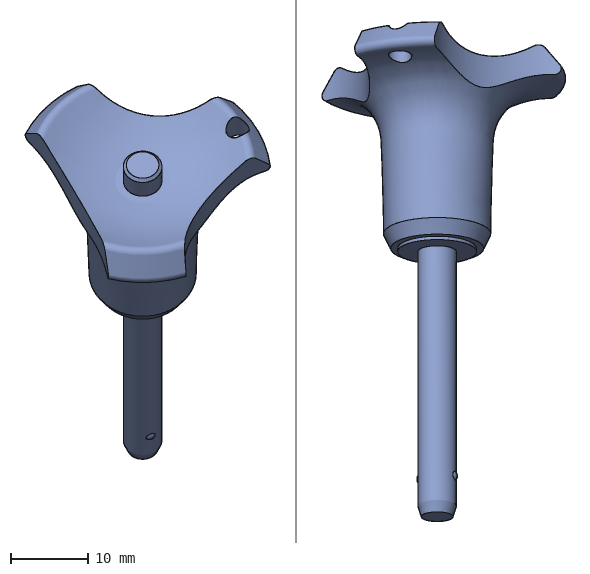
import math

import cadquery as cq


HANDLE_HEIGHT = 26.7
SHANK_LENGTH = 36.0

TIP_RADIUS = 16.6
BOWL_RADIUS = 24.0
CREST_FILLET = 1.0
CREST_RADIAL = 13.83
NOSE_FILLET = 0.83
TIP_THICKNESS = 4.0
PLUG_RADIUS = 3.53

FLARE_RADIUS = 8.0
GRIP_TOP_RADIUS = 7.25
GRIP_BOTTOM_RADIUS = 6.94
GRIP_BOTTOM_Z = 2.4
CONE_BOTTOM_RADIUS = 6.0
CONE_BOTTOM_Z = 0.45
COLLAR_RADIUS = 5.1

SIDE_SCALLOP_RADIUS = 15.7
SIDE_SCALLOP_X = 21.05
SIDE_SCALLOP_Y = 13.4
FRONT_SCALLOP_RADIUS = 49.3
FRONT_SCALLOP_DEPTH_Y = -9.2

HOLE_DIAMETER = 3.0
HOLE_Y = 13.6

PIN_RADIUS = 2.5
BUTTON_TOP_DROP = 0.5
BUTTON_CHAMFER = 0.4
SHANK_TIP_RADIUS = 2.05
SHANK_TIP_LENGTH = 1.45
BALL_RADIUS = 0.8
BALL_PROTRUSION = 0.25
BALL_ABOVE_TIP = 5.3


def point_on_circle(center, radius, angle):
    """Point at the given angle (radians) on a circle in the (radius, Z) half plane."""
    return (center[0] + radius * math.cos(angle), center[1] + radius * math.sin(angle))


def handle_blank():
    """Solid of revolution of the handle, before the scallops part it into arms."""
    crest = (CREST_RADIAL, HANDLE_HEIGHT - CREST_FILLET)
    underside_z = HANDLE_HEIGHT - TIP_THICKNESS
    nose = (TIP_RADIUS - NOSE_FILLET, underside_z + NOSE_FILLET)
    flare = (GRIP_TOP_RADIUS + FLARE_RADIUS, underside_z - FLARE_RADIUS)

    center_gap = BOWL_RADIUS + CREST_FILLET
    bowl = (0, crest[1] + math.sqrt(center_gap**2 - CREST_RADIAL**2))
    crest_inner_angle = math.atan2(bowl[1] - crest[1], -CREST_RADIAL)
    plug_angle = -math.acos(PLUG_RADIUS / BOWL_RADIUS)
    bowl_end_angle = crest_inner_angle - math.pi
    plug_edge = point_on_circle(bowl, BOWL_RADIUS, plug_angle)
    bowl_mid = point_on_circle(bowl, BOWL_RADIUS, (plug_angle + bowl_end_angle) / 2)
    bowl_end = point_on_circle(bowl, BOWL_RADIUS, bowl_end_angle)

    run = nose[0] - crest[0]
    drop = crest[1] - nose[1]
    bevel_slope = math.atan2(drop, run) + math.asin((CREST_FILLET - NOSE_FILLET) / math.hypot(run, drop))
    bevel_normal = math.pi / 2 - bevel_slope
    crest_top = point_on_circle(crest, CREST_FILLET, math.pi / 2)
    bevel_top = point_on_circle(crest, CREST_FILLET, bevel_normal)
    bevel_bottom = point_on_circle(nose, NOSE_FILLET, bevel_normal)
    nose_tip = point_on_circle(nose, NOSE_FILLET, 0)
    nose_bottom = point_on_circle(nose, NOSE_FILLET, -math.pi / 2)

    flare_mid = point_on_circle(flare, FLARE_RADIUS, 0.75 * math.pi)

    profile = (
        cq.Workplane("XZ")
        .moveTo(0, plug_edge[1])
        .lineTo(*plug_edge)
        .threePointArc(bowl_mid, bowl_end)
        .threePointArc(crest_top, bevel_top)
        .lineTo(*bevel_bottom)
        .threePointArc(nose_tip, nose_bottom)
        .lineTo(flare[0], underside_z)
        .threePointArc(flare_mid, (GRIP_TOP_RADIUS, flare[1]))
        .lineTo(GRIP_BOTTOM_RADIUS, GRIP_BOTTOM_Z)
        .lineTo(CONE_BOTTOM_RADIUS, CONE_BOTTOM_Z)
        .lineTo(COLLAR_RADIUS, CONE_BOTTOM_Z)
        .lineTo(COLLAR_RADIUS, 0)
        .lineTo(0, 0)
        .close()
    )
    return profile.revolve(360, (0, 0, 0), (0, 1, 0))


def vertical_cutter(x, y, radius):
    """Cylinder along Z as tall as the handle."""
    return cq.Workplane("XY").center(x, y).circle(radius).extrude(HANDLE_HEIGHT)


def handle():
    """Three-armed handle with the lanyard hole in its +Y arm."""
    body = handle_blank()
    for side in (-1, 1):
        body = body.cut(vertical_cutter(side * SIDE_SCALLOP_X, SIDE_SCALLOP_Y, SIDE_SCALLOP_RADIUS))
    front_center_y = FRONT_SCALLOP_DEPTH_Y - FRONT_SCALLOP_RADIUS
    body = body.cut(vertical_cutter(0, front_center_y, FRONT_SCALLOP_RADIUS))
    return body.cut(vertical_cutter(0, HOLE_Y, HOLE_DIAMETER / 2))


def pin():
    """Push button, spindle and tapered shank as one turned piece."""
    button_top = HANDLE_HEIGHT - BUTTON_TOP_DROP
    profile = (
        cq.Workplane("XZ")
        .moveTo(0, button_top)
        .lineTo(PIN_RADIUS - BUTTON_CHAMFER, button_top)
        .lineTo(PIN_RADIUS, button_top - BUTTON_CHAMFER)
        .lineTo(PIN_RADIUS, SHANK_TIP_LENGTH - SHANK_LENGTH)
        .lineTo(SHANK_TIP_RADIUS, -SHANK_LENGTH)
        .lineTo(0, -SHANK_LENGTH)
        .close()
    )
    return profile.revolve(360, (0, 0, 0), (0, 1, 0))


def locking_ball(side):
    """Ball standing slightly proud of the shank on the -X or +X side."""
    center_x = side * (PIN_RADIUS + BALL_PROTRUSION - BALL_RADIUS)
    center_z = BALL_ABOVE_TIP - SHANK_LENGTH
    return cq.Workplane("XY").sphere(BALL_RADIUS).translate((center_x, 0, center_z))


result = handle().union(pin())
for ball_side in (-1, 1):
    result = result.union(locking_ball(ball_side))